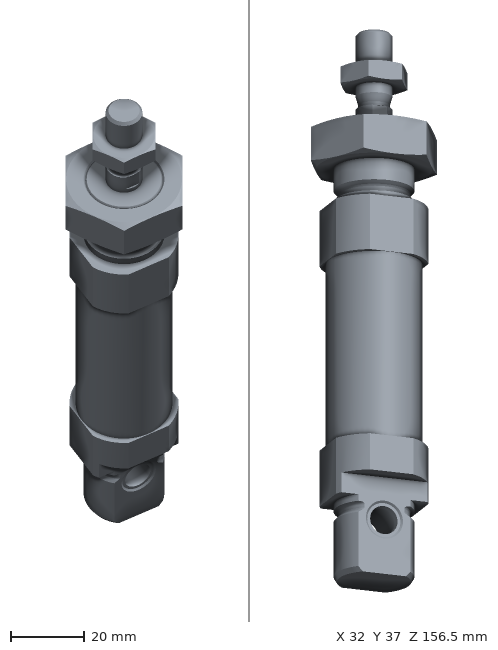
import cadquery as cq
import math

total_height = 156.5

rod_diameter = 10.0
rod_tip_diameter = 8.5
rod_tip_chamfer = 0.8
rod_groove_diameter = 8.6
rod_groove_wall_z = 134.7
rod_groove_width = 3.6
rod_groove_cone_height = 2.3
rod_groove_fillet = 0.5
rod_flat_width = 9.0
rod_flat_bottom_z = 130.0

small_nut_across_flats = 17.0
small_nut_face_diameter = 16.7
small_nut_height = 5.3
small_nut_bottom_z = 141.2
large_nut_across_flats = 32.0
large_nut_face_diameter = 31.6
large_nut_height = 11.0
large_nut_bottom_z = 117.7
nut_chamfer_angle = 15.0

thread_diameter = 22.0
thread_tip_diameter = 20.3
nut_seat_diameter = 21.1
groove_diameter = 19.7
groove_width = 3.1
groove_cone_height = (thread_diameter - groove_diameter) / 2
groove_fillet = 0.8

nose_top_z = large_nut_bottom_z + large_nut_height
nose_tip_chamfer = (nut_seat_diameter - thread_tip_diameter) / 2
nose_groove_wall_z = 108.5

barrel_diameter = 26.5
cap_width = 26.9
cap_corner_diameter = 29.7
front_cap_top_z = 106.3
front_cap_bottom_z = 90.5
rear_cap_top_z = 37.9
rear_cap_bottom_z = 21.9

lug_width = 16.0
lug_shoulder_z = 27.5
lug_chamfer_height = 1.4
lug_groove_wall_z = 20.0
pivot_hole_diameter = 8.0
pivot_recess_rim_diameter = 10.8
pivot_recess_floor_diameter = 9.7
pivot_recess_depth = 0.5
pivot_hole_z = 15.5


def revolve_profile(points):
    """Revolve a closed outline of (radius, z) points about the Z axis."""
    return cq.Workplane("XZ").polyline(points).close().revolve(360, (0, 0, 0), (0, 1, 0))


def cylinder(diameter, bottom_z, top_z):
    return cq.Workplane("XY").workplane(offset=bottom_z).circle(diameter / 2).extrude(top_z - bottom_z)


def slab(width, bottom_z, top_z):
    """Block with flats at +-width/2 in X that is wider than the part in Y."""
    height = top_z - bottom_z
    return cq.Workplane("XY").box(width, total_height, height, (True, True, False)).translate((0, 0, bottom_z))


def make_groove(outer_diameter, floor_diameter, width, cone_height, fillet):
    """Ring cutter for a thread run-out: flat wall at z = 0, conical side rising outward above it."""
    outer = outer_diameter / 2
    floor = floor_diameter / 2
    ring = revolve_profile([(floor, 0), (outer, 0), (outer, width), (floor, width - cone_height)])
    return ring.edges(cq.selectors.RadiusNthSelector(0)).fillet(fillet)


def make_rod():
    rod = cylinder(rod_diameter, front_cap_bottom_z, total_height)
    tip_inset = (rod_diameter - rod_tip_diameter) / 2
    rod = rod.faces(">Z").chamfer(rod_tip_chamfer, tip_inset)
    groove = make_groove(
        rod_diameter, rod_groove_diameter, rod_groove_width, rod_groove_cone_height, rod_groove_fillet
    ).translate((0, 0, rod_groove_wall_z))
    band = cylinder(rod_diameter, rod_flat_bottom_z, rod_groove_wall_z)
    flats = band.cut(slab(rod_flat_width, rod_flat_bottom_z, rod_groove_wall_z))
    return rod.cut(groove).cut(flats)


def make_nut(across_flats, face_diameter, bore_diameter, countersink_diameter, height, bottom_z):
    """Hexagon nut whose corners are cut by a shallow cone at both faces."""
    across_corners = across_flats / math.cos(math.radians(30))
    corner = across_corners / 2
    face = face_diameter / 2
    bore = bore_diameter / 2
    drop = (corner - face) * math.tan(math.radians(nut_chamfer_angle))
    hexagon = cq.Workplane("XY").polygon(6, across_corners).extrude(height).rotate((0, 0, 0), (0, 0, 1), 30)
    envelope = revolve_profile([
        (bore, 0),
        (face, 0),
        (corner, drop),
        (corner, height - drop),
        (face, height),
        (bore, height),
    ])
    nut = hexagon.intersect(envelope)
    if countersink_diameter > bore_diameter:
        nut = nut.faces(">Z").edges(cq.selectors.RadiusNthSelector(0)).chamfer(
            (countersink_diameter - bore_diameter) / 2
        )
    return nut.translate((0, 0, bottom_z))


def make_cap(bottom_z, top_z):
    square = cq.Workplane("XY").workplane(offset=bottom_z).rect(cap_width, cap_width).extrude(top_z - bottom_z)
    return square.intersect(cylinder(cap_corner_diameter, bottom_z, top_z))


def make_thread_groove():
    return make_groove(thread_diameter, groove_diameter, groove_width, groove_cone_height, groove_fillet)


def make_nose():
    """Front thread that steps down to a seat inside the large nut."""
    thread = cylinder(thread_diameter, front_cap_top_z, large_nut_bottom_z)
    seat = cylinder(nut_seat_diameter, large_nut_bottom_z, nose_top_z).faces(">Z").chamfer(nose_tip_chamfer)
    groove = make_thread_groove().translate((0, 0, nose_groove_wall_z))
    return thread.union(seat).cut(groove)


def make_lug():
    """Rear thread with an end chamfer; its groove has the flat wall on top."""
    end_inset = (thread_diameter - thread_tip_diameter) / 2
    lug = cylinder(thread_diameter, 0, rear_cap_bottom_z).faces("<Z").chamfer(lug_chamfer_height, end_inset)
    groove = make_thread_groove().mirror("XY").translate((0, 0, lug_groove_wall_z))
    return lug.cut(groove)


def make_pivot_hole():
    """Cutter along X: a through hole with a shallow tapered recess at both lug faces."""
    face = lug_width / 2
    floor = face - pivot_recess_depth
    hole = pivot_hole_diameter / 2
    recess = pivot_recess_floor_diameter / 2
    rim = pivot_recess_rim_diameter / 2
    cutter = (
        cq.Workplane("XY")
        .polyline([
            (-face, 0), (-face, rim), (-floor, recess), (-floor, hole),
            (floor, hole), (floor, recess), (face, rim), (face, 0),
        ])
        .close()
        .revolve(360, (0, 0, 0), (1, 0, 0))
    )
    return cutter.translate((0, 0, pivot_hole_z))


def make_body():
    rear = make_cap(rear_cap_bottom_z, rear_cap_top_z).union(make_lug())
    flatted_rear = rear.intersect(
        slab(lug_width, 0, lug_shoulder_z).union(slab(cap_width, lug_shoulder_z, rear_cap_top_z))
    )
    body = (
        flatted_rear
        .union(cylinder(barrel_diameter, rear_cap_top_z, front_cap_bottom_z))
        .union(make_cap(front_cap_bottom_z, front_cap_top_z))
        .union(make_nose())
    )
    rod_bore = cylinder(rod_diameter, front_cap_bottom_z, nose_top_z)
    return body.cut(rod_bore).cut(make_pivot_hole())


body = make_body()
rod = make_rod()
small_nut = make_nut(
    small_nut_across_flats, small_nut_face_diameter, rod_diameter, rod_diameter,
    small_nut_height, small_nut_bottom_z,
)
large_nut = make_nut(
    large_nut_across_flats, large_nut_face_diameter, nut_seat_diameter, thread_diameter,
    large_nut_height, large_nut_bottom_z,
)

result = cq.Compound.makeCompound([body.val(), rod.val(), small_nut.val(), large_nut.val()])